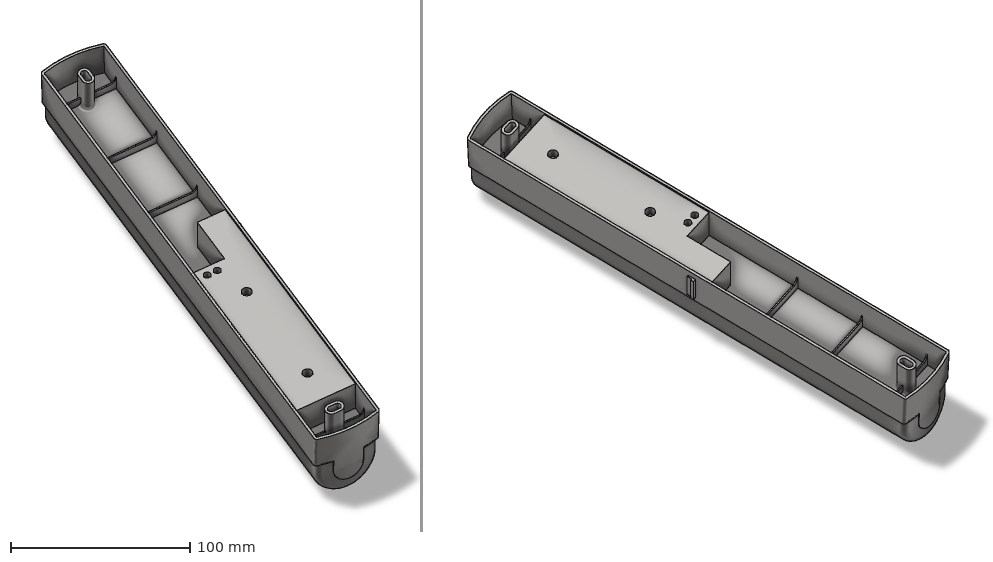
import cadquery as cq
import math

total_length = 310.0
total_height = 55.0

shell_width = 42.0
shell_depth = 24.5
end_arc_radius = 74.5
end_draft = 2.0
corner_radius = 2.0
wall = 1.7
floor_depth = 23.0

trough_width = 39.7
trough_half_length = 153.5
trough_edge_radius = 4.3

tongue_width = 19.5
tongue_bend_depth = 34.0
tongue_tip_lean = 5.0

deck_depth = 1.2
deck_start = -16.5
deck_end = 127.7
notch_end = 13.5
notch_edge_y = 1.2

screw_hole_diameter = 6.0
screw_pilot_diameter = 3.0
screw_hole_xs = (40.3, 107.5)
wire_hole_diameter = 4.3
wire_pilot_diameter = 2.0
wire_hole_x = 19.0
wire_hole_ys = (-6.5, -13.0)
hole_depth = 6.2
pilot_depth = 9.3

rib_thickness = 1.0
rib_height = 5.5
rib_end_radius = 4.3
rib_pitch = 45.0

post_x = 137.3
post_width = 7.5
post_slot_width = 4.0
post_arc_spacing = 4.0
post_foot_radius = 2.65

latch_start = -6.5
latch_top_depth = 4.3
latch_bottom_depth = 21.5
latch_lip_length = 2.0
latch_lip_height = 2.0
latch_plate_length = 3.0
latch_plate_height = 1.0

rim_half_length = total_length / 2
trough_radius = trough_width / 2
trough_axis_z = trough_radius - total_height
tongue_radius = tongue_width / 2
inner_width = shell_width - 2 * wall
post_height = floor_depth
post_length = post_width + post_arc_spacing


def block(x_min, x_max, y_min, y_max, z_min, z_max):
    """Axis-aligned box given by its limits."""
    size = (x_max - x_min, y_max - y_min, z_max - z_min)
    return cq.Workplane("XY").box(*size, centered=False).translate((x_min, y_min, z_min))


def bowed_prism(half_length, arc_radius, width, depth, draft=0.0):
    """Bar with bowed ends reaching down from Z = 0; draft tilts only its ends."""
    half_blank = width
    arc_drop = arc_radius - math.sqrt(arc_radius**2 - half_blank**2)
    corner_x = half_length - arc_drop
    blank = (
        cq.Workplane("XY")
        .moveTo(-corner_x, -half_blank)
        .lineTo(corner_x, -half_blank)
        .threePointArc((half_length, 0), (corner_x, half_blank))
        .lineTo(-corner_x, half_blank)
        .threePointArc((-half_length, 0), (-corner_x, -half_blank))
        .close()
        .extrude(-depth, taper=draft)
    )
    blank_reach = half_length + depth
    return blank.intersect(block(-blank_reach, blank_reach, -width / 2, width / 2, -depth, 0))


def u_prism(radius, axis_z, top_z):
    """Full-length bar with a U-shaped section, open side up."""
    return (
        cq.Workplane("YZ")
        .moveTo(-radius, top_z)
        .lineTo(-radius, axis_z)
        .threePointArc((0, axis_z - radius), (radius, axis_z))
        .lineTo(radius, top_z)
        .close()
        .extrude(total_length / 2, both=True)
    )


def make_shell():
    """Upper shell whose bowed ends run on below its lower edge as U-shaped tongues."""
    blank = bowed_prism(rim_half_length, end_arc_radius, shell_width, tongue_bend_depth, end_draft)
    blank = blank.edges("%HYPERBOLA").fillet(corner_radius)
    band = block(-rim_half_length, rim_half_length, -shell_width / 2, shell_width / 2, -shell_depth, 0)
    tongues = u_prism(tongue_radius, -tongue_bend_depth, -shell_depth)
    return blank.intersect(band.union(tongues))


def make_trough():
    """Rounded lower body with upright bowed ends and rounded end edges."""
    ends = bowed_prism(trough_half_length, end_arc_radius, shell_width, total_height)
    trough = u_prism(trough_radius, trough_axis_z, -shell_depth).intersect(ends)
    return trough.edges("|Z or %BSPLINE").fillet(trough_edge_radius)


def make_tongue_tips():
    """Half-round lower ends of the tongues, leaning outward from the bend."""
    draft_inset = tongue_bend_depth * math.tan(math.radians(end_draft))
    leaning = bowed_prism(rim_half_length - draft_inset, end_arc_radius - draft_inset,
                          trough_width, tongue_radius, -tongue_tip_lean)
    half_round = u_prism(tongue_radius, -tongue_bend_depth, -shell_depth)
    return leaning.translate((0, 0, -tongue_bend_depth)).intersect(half_round)


def make_cavity():
    """Open space inside the shell, leaving the notched deck and the floor."""
    cavity = bowed_prism(rim_half_length - wall, end_arc_radius - wall,
                         inner_width, floor_depth, end_draft)
    half_width = inner_width / 2
    deck = block(deck_start, deck_end, -half_width, half_width, -floor_depth, -deck_depth)
    notch = block(deck_start, notch_end, -half_width, notch_edge_y, -floor_depth, -deck_depth)
    return cavity.cut(deck.cut(notch))


def make_rib(x):
    """Cross rib on the floor whose top edge sweeps up into both side walls."""
    half_width = inner_width / 2
    top_z = rib_height - floor_depth
    peak_z = top_z + rib_end_radius
    flat_half = half_width - rib_end_radius
    arc_offset = rib_end_radius * math.sqrt(0.5)
    arc_mid_y = flat_half + arc_offset
    arc_mid_z = peak_z - arc_offset
    return (
        cq.Workplane("YZ", origin=(x - rib_thickness / 2, 0, 0))
        .moveTo(-half_width, -floor_depth)
        .lineTo(half_width, -floor_depth)
        .lineTo(half_width, peak_z)
        .threePointArc((arc_mid_y, arc_mid_z), (flat_half, top_z))
        .lineTo(-flat_half, top_z)
        .threePointArc((-arc_mid_y, arc_mid_z), (-half_width, peak_z))
        .close()
        .extrude(rib_thickness)
    )


def make_post(x, slot_angle):
    """Obround post with a flared foot, rising from the floor to the rim."""
    post = (
        cq.Workplane("XY", origin=(x, 0, -floor_depth))
        .slot2D(post_length, post_width, slot_angle)
        .extrude(post_height)
    )
    pad_half = post_length
    pad = block(x - pad_half, x + pad_half, -pad_half, pad_half, -shell_depth, -floor_depth)
    post = post.union(pad)
    foot_edges = post.faces(">Z[-2]").val().innerWires()[0].Edges()
    return post.newObject(foot_edges).fillet(post_foot_radius)


def make_post_slot(x, slot_angle):
    """Obround hole through a post, down to the floor."""
    return (
        cq.Workplane("XY", origin=(x, 0, -floor_depth))
        .slot2D(post_slot_width + post_arc_spacing, post_slot_width, slot_angle)
        .extrude(post_height)
    )


def make_deck_holes():
    """Blind stepped screw and wire holes in the deck."""
    def stepped_holes(diameter, pilot_diameter, centres):
        deck = cq.Workplane("XY", origin=(0, 0, -deck_depth)).pushPoints(centres)
        bores = deck.circle(diameter / 2).extrude(-hole_depth)
        pilots = deck.circle(pilot_diameter / 2).extrude(-pilot_depth)
        return bores.union(pilots)

    screw_centres = [(x, 0) for x in screw_hole_xs]
    wire_centres = [(wire_hole_x, y) for y in wire_hole_ys]
    screw_holes = stepped_holes(screw_hole_diameter, screw_pilot_diameter, screw_centres)
    wire_holes = stepped_holes(wire_hole_diameter, wire_pilot_diameter, wire_centres)
    return screw_holes.union(wire_holes)


def make_latch():
    """Stepped latch standing out from the +Y side."""
    lip_end = latch_start + latch_lip_length
    plate_end = lip_end + latch_plate_length
    root_y = shell_width / 2 - wall / 2
    lip_y = shell_width / 2 + latch_lip_height
    plate_y = shell_width / 2 + latch_plate_height
    lip = block(latch_start, lip_end, root_y, lip_y, -latch_bottom_depth, -latch_top_depth)
    plate = block(lip_end, plate_end, root_y, plate_y, -latch_bottom_depth, -latch_top_depth)
    return lip.union(plate)


result = make_shell().union(make_trough()).union(make_tongue_tips())
result = result.cut(make_cavity()).cut(make_deck_holes())
result = result.union(make_latch())

for rib_x in (-post_x, rib_pitch - post_x, 2 * rib_pitch - post_x, post_x):
    result = result.union(make_rib(rib_x))

for x, slot_angle in ((-post_x, 0), (post_x, 90)):
    result = result.union(make_post(x, slot_angle)).cut(make_post_slot(x, slot_angle))